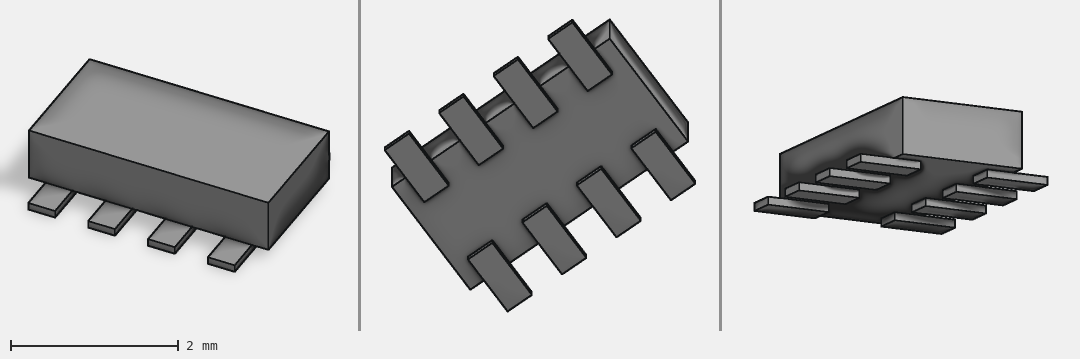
import cadquery as cq

package_length = 3.2
overall_width = 2.51
overall_height = 0.8

lead_width = 0.36
lead_length = 0.81
lead_thickness = 0.1
lead_pitch = 0.8
leads_per_row = 4

housing_width = 1.6
housing_height = overall_height - lead_thickness


def make_housing():
    """Rectangular block whose underside sits on top of the leads."""
    return (
        cq.Workplane("XY")
        .box(package_length, housing_width, housing_height, centered=(True, True, False))
        .translate((0, 0, lead_thickness))
    )


def make_lead(x, side):
    """Flat lead centred at x, reaching the outer edge on the given side (-1 or +1) in Y."""
    y = side * (overall_width - lead_length) / 2
    return (
        cq.Workplane("XY")
        .box(lead_width, lead_length, lead_thickness, centered=(True, True, False))
        .translate((x, y, 0))
    )


housing = make_housing()

leads = []
for side in (-1, 1):
    for index in range(leads_per_row):
        lead_x = (index - (leads_per_row - 1) / 2) * lead_pitch
        leads.append(make_lead(lead_x, side).val())

result = cq.Compound.makeCompound([housing.val(), *leads])